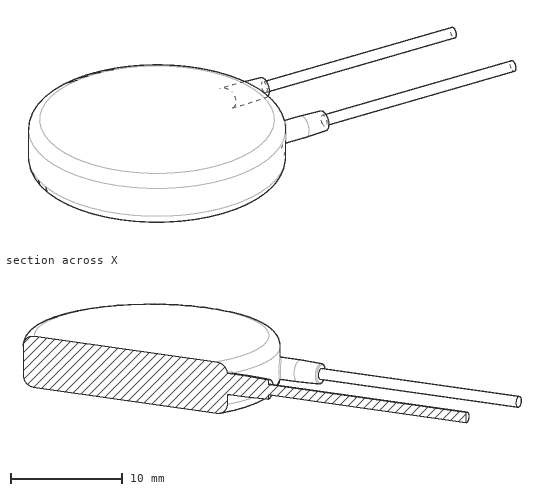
import cadquery as cq

body_diameter = 23.0
body_height = 4.8
body_edge_radius = 1.0

lead_pitch = 10.0
wire_diameter = 1.0
wire_end_y = 34.5
lead_height_offset = wire_diameter / 2

sleeve_diameter = 2.0
sleeve_tip_diameter = 1.85
sleeve_end_y = 14.5
taper_length = 2.2
sleeve_edge_radius = 0.1

root_blend_radius = 0.1

root_y = body_diameter / 4


def make_body():
    disc = cq.Workplane("XY").circle(body_diameter / 2).extrude(body_height / 2, both=True)
    return disc.edges().fillet(body_edge_radius)


def revolve_about_lead_axis(profile):
    return profile.close().revolve(360, (0, 0, 0), (0, 1, 0))


def make_sleeve():
    """Sleeve on the Y axis, with its outer tip edge rounded."""
    profile = (
        cq.Workplane("XY")
        .moveTo(0, root_y)
        .lineTo(sleeve_diameter / 2, root_y)
        .lineTo(sleeve_diameter / 2, sleeve_end_y - taper_length)
        .lineTo(sleeve_tip_diameter / 2, sleeve_end_y)
        .lineTo(0, sleeve_end_y)
    )
    sleeve = revolve_about_lead_axis(profile)
    return sleeve.faces(">Y").edges().fillet(sleeve_edge_radius)


def make_wire():
    """Wire on the Y axis."""
    profile = (
        cq.Workplane("XY")
        .moveTo(0, root_y)
        .lineTo(wire_diameter / 2, root_y)
        .lineTo(wire_diameter / 2, wire_end_y)
        .lineTo(0, wire_end_y)
    )
    return revolve_about_lead_axis(profile)


def blend_sleeve_roots(part):
    """Round the joint lines between the sleeves and the body, the only free-form edges of the part."""
    return part.edges("%BSPLINE").fillet(root_blend_radius)


lead = make_sleeve().union(make_wire())
result = make_body()
for side in (-1, 1):
    result = result.union(lead.translate((side * lead_pitch / 2, 0, side * lead_height_offset)))
result = blend_sleeve_roots(result)